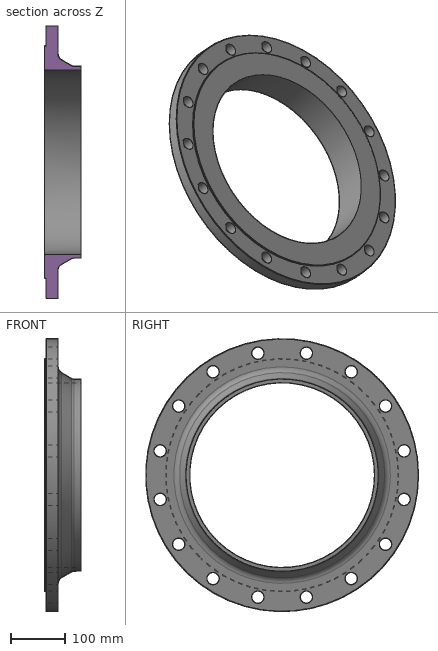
import cadquery as cq
import math

flange_diameter = 505.0
total_length = 68.0
bore_diameter = 341.5

face_diameter = 431.5
face_height = 3.0
face_chamfer = 1.0
plate_back = 26.0
rim_chamfer = 1.0

neck_diameter = 355.5
neck_straight_length = 15.5
cone_angle = 30
hub_fillet = 12.0
neck_fillet = 9.0
cone_end = total_length - neck_straight_length
cone_rise = (cone_end - plate_back) * math.tan(math.radians(cone_angle))
hub_diameter = neck_diameter + 2 * cone_rise

bolt_count = 16
bolt_circle_diameter = 460.0
bolt_hole_diameter = 22.0


def ring_edge(body, axial, diameter):
    """Select the circular edge of the given diameter at the given place along X."""
    tolerance = 0.0005

    def matches(edge):
        same_place = abs(edge.Center().x - axial) < tolerance
        return same_place and abs(edge.radius() - diameter / 2) < tolerance

    return body.edges("%CIRCLE").filter(matches)


def make_body():
    """Revolve the solid weld-neck profile about X, then break its edges."""
    body = (
        cq.Workplane("XY")
        .polyline([
            (0, 0),
            (0, face_diameter / 2),
            (face_height, face_diameter / 2),
            (face_height, flange_diameter / 2),
            (plate_back, flange_diameter / 2),
            (plate_back, hub_diameter / 2),
            (cone_end, neck_diameter / 2),
            (total_length, neck_diameter / 2),
            (total_length, 0),
        ])
        .close()
        .revolve(360, (0, 0, 0), (1, 0, 0))
    )
    body = ring_edge(body, 0, face_diameter).chamfer(face_chamfer)
    body = ring_edge(body, face_height, flange_diameter).chamfer(rim_chamfer)
    body = ring_edge(body, plate_back, hub_diameter).fillet(hub_fillet)
    return ring_edge(body, cone_end, neck_diameter).fillet(neck_fillet)


def make_bore():
    return cq.Workplane("YZ").circle(bore_diameter / 2).extrude(total_length)


def make_bolt_holes():
    half_pitch = 360 / bolt_count / 2
    return (
        cq.Workplane("YZ")
        .polarArray(bolt_circle_diameter / 2, half_pitch, 360, bolt_count)
        .circle(bolt_hole_diameter / 2)
        .extrude(total_length)
    )


result = make_body().cut(make_bore()).cut(make_bolt_holes())